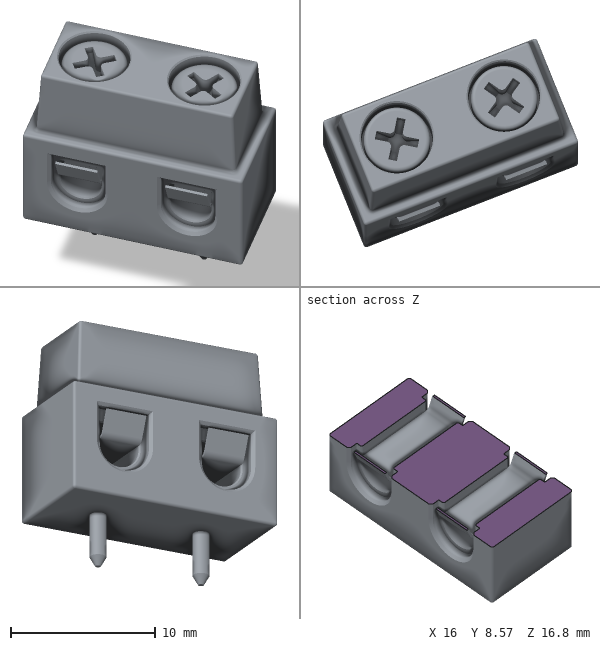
import math

import cadquery as cq


pitch = 8.0
pole_x = pitch / 2
base_length = 2 * pitch
base_width = pitch
base_height = pitch
tower_length = 14.52
tower_width = 6.48
tower_draft = 3.0
edge_radius = 0.2

pin_radius = 0.596
pin_tip_radius = 0.2
pin_length = 3.8
pin_tip_angle = 60.0
pin_offset = 0.059

overall_height = 16.8
top_z = overall_height - pin_length
tower_height = top_z - base_height

entry_center_z = 4.03
entry_radius = 1.98
entry_top_z = 6.54
entry_depth = 0.77
entry_chamfer = 0.22
entry_chamfer_depth = 0.2
tunnel_radius = 1.51
tunnel_top_z = 5.55
tunnel_lip = 0.1

leaf_width = 2 * tunnel_radius + 0.03
leaf_thickness = 0.18
leaf_underside_z = 4.35
leaf_bend_radius = 0.57
leaf_angle = 67.0
leaf_span = 8.57
leaf_tip_z = 6.2

well_radius = 2.5
well_lip = 0.1
head_radius = 2.3
head_edge_radius = 0.3
head_height = 2.0
head_recess = 0.5
well_depth = head_recess + head_height

cross_length = 3.02
cross_width = 0.6
cross_depth = 1.35
cross_end_depth = 0.5
cross_floor_reach = 0.64
cross_draft = 2.0
cross_corner_radius = 0.34
cross_angle = 33.0


def make_housing():
    base = (
        cq.Workplane("XY")
        .box(base_length, base_width, base_height, centered=(True, True, False))
        .edges()
        .fillet(edge_radius)
    )
    tower = (
        cq.Workplane("XY", origin=(0, 0, base_height))
        .rect(tower_length, tower_width)
        .extrude(tower_height, taper=tower_draft)
        .edges("not <Z")
        .fillet(edge_radius)
    )
    margin = 0.02
    reach_x = tower_length / 2 + margin
    reach_y = tower_width / 2 + margin
    tower_foot = cq.selectors.BoxSelector(
        (-reach_x, -reach_y, base_height - margin),
        (reach_x, reach_y, base_height + margin),
    )
    return base.union(tower).edges(tower_foot).fillet(edge_radius)


def arch(x, y, radius, arch_top_z):
    """Flat-topped U outline in the XZ plane at the given y."""
    top = arch_top_z - entry_center_z
    return (
        cq.Workplane("XZ", origin=(x, y, entry_center_z))
        .moveTo(-radius, top)
        .lineTo(-radius, 0)
        .threePointArc((0, -radius), (radius, 0))
        .lineTo(radius, top)
        .close()
    )


def flare(x, y, radius, arch_top_z, growth, depth):
    """Arch that is wider by growth at y and narrows to radius at y + depth."""
    draft = math.degrees(math.atan(growth / depth))
    return arch(x, y, radius + growth, arch_top_z + growth).extrude(-depth, taper=draft)


def make_entry(x):
    """Void on the -Y side: recess, flared mouth and flared tunnel lip."""
    face_y = -base_width / 2
    floor_y = face_y + entry_depth
    recess = arch(x, face_y, entry_radius, entry_top_z).extrude(-entry_depth)
    mouth = flare(x, face_y, entry_radius, entry_top_z, entry_chamfer, entry_chamfer_depth)
    lip = flare(x, floor_y, tunnel_radius, tunnel_top_z, tunnel_lip, tunnel_lip)
    return recess.union(mouth).union(lip)


def make_tunnel(x):
    return arch(x, -base_width / 2, tunnel_radius, tunnel_top_z).extrude(-base_width)


def make_leaf(x):
    turn = math.radians(leaf_angle)
    outer = leaf_bend_radius
    inner = leaf_bend_radius - leaf_thickness
    bend_z = leaf_underside_z + leaf_bend_radius

    rise = leaf_tip_z - (bend_z - outer * math.cos(turn))
    bend_y = leaf_span / 2 - rise / math.tan(turn) - outer * math.sin(turn)

    def on_bend(radius, angle):
        return (bend_y + radius * math.sin(angle), bend_z - radius * math.cos(angle))

    tip_lower = (leaf_span / 2, leaf_tip_z)
    tip_upper = (
        tip_lower[0] - leaf_thickness * math.sin(turn),
        tip_lower[1] + leaf_thickness * math.cos(turn),
    )
    half = (
        cq.Workplane("YZ", origin=(x - leaf_width / 2, 0, 0))
        .moveTo(0, leaf_underside_z)
        .lineTo(*on_bend(outer, 0))
        .threePointArc(on_bend(outer, turn / 2), on_bend(outer, turn))
        .lineTo(*tip_lower)
        .lineTo(*tip_upper)
        .lineTo(*on_bend(inner, turn))
        .threePointArc(on_bend(inner, turn / 2), on_bend(inner, 0))
        .lineTo(0, leaf_underside_z + leaf_thickness)
        .close()
        .extrude(leaf_width)
    )
    return half.union(half.mirror("XZ"))


def turned(x, y, z, profile):
    """Solid of revolution about the vertical axis at x, y; profile holds (radius, height above z)."""
    return (
        cq.Workplane("YZ", origin=(x, y, z))
        .polyline(profile)
        .close()
        .revolve(360, (0, 0, 0), (0, 1, 0))
    )


def make_well(x):
    profile = [
        (0, 0),
        (well_radius + well_lip, 0),
        (well_radius, -well_lip),
        (well_radius, -well_depth),
        (0, -well_depth),
    ]
    return turned(x, 0, top_z, profile)


def make_cross():
    """Cross recess with its mouth centred on the origin and its arms along X and Y."""
    inner_corners = cq.selectors.BoxSelector(
        (-cross_width, -cross_width, -0.17),
        (cross_width, cross_width, 0.17),
    )
    outline = (
        cq.Sketch()
        .rect(cross_length, cross_width)
        .rect(cross_width, cross_length)
        .clean()
        .vertices(inner_corners)
        .fillet(cross_corner_radius)
    )
    cross = cq.Workplane("XY").placeSketch(outline).extrude(-cross_depth, taper=cross_draft)

    slope_height = cross_depth - cross_end_depth
    slope_run = cross_length / 2 - cross_floor_reach
    floor_shape = (
        cq.Workplane("XY")
        .rect(cross_length, cross_length)
        .extrude(-cross_end_depth)
        .faces("<Z")
        .workplane()
        .rect(cross_length, cross_length)
        .extrude(slope_height, taper=math.degrees(math.atan(slope_run / slope_height)))
    )
    return cross.intersect(floor_shape)


def make_screw(x, angle):
    head = (
        cq.Workplane("XY", origin=(x, 0, top_z - well_depth))
        .circle(head_radius)
        .extrude(head_height)
        .faces(">Z")
        .edges()
        .fillet(head_edge_radius)
    )
    cross = make_cross().rotate((0, 0, 0), (0, 0, 1), angle)
    return head.cut(cross.translate((x, 0, top_z - head_recess)))


def make_pin(x, y):
    tip_height = (pin_radius - pin_tip_radius) * math.tan(math.radians(pin_tip_angle))
    profile = [
        (0, edge_radius),
        (pin_radius, edge_radius),
        (pin_radius, tip_height - pin_length),
        (pin_tip_radius, -pin_length),
        (0, -pin_length),
    ]
    return turned(x, y, 0, profile)


result = make_housing()
for side in (-1, 1):
    x = side * pole_x
    entry = make_entry(x)
    result = result.cut(entry).cut(entry.mirror("XZ")).cut(make_tunnel(x)).cut(make_well(x))
    result = result.union(make_screw(x, -side * cross_angle))
    result = result.union(make_leaf(x))
    result = result.union(make_pin(x, -side * pin_offset))